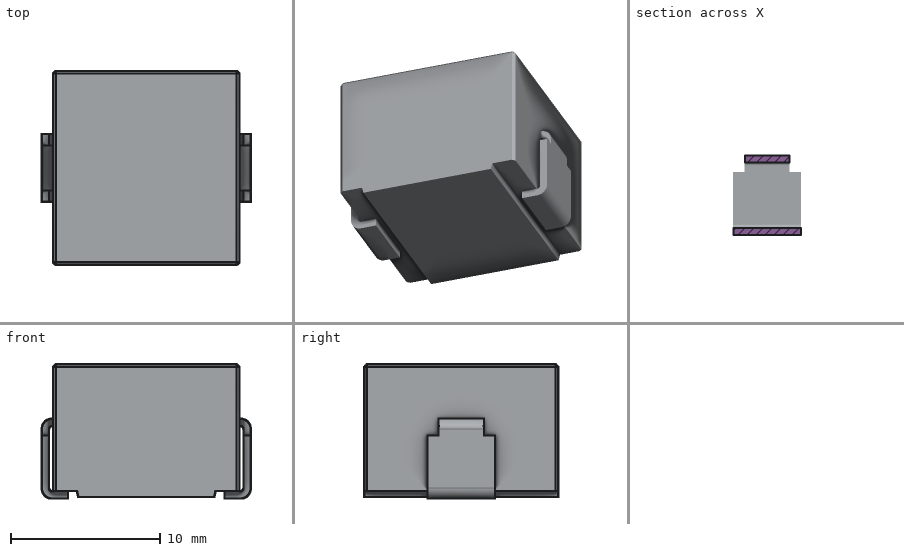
import cadquery as cq

overall_length = 14
overall_height = 9.0

body_length = 12.5
body_width = 13.0
edge_chamfer = 0.2

pad_ground_clearance = 0.1
pad_root_length = 9.3
pad_tip_length = 9.1

strip_thickness = 0.5
outer_bend_radius = 0.7
inner_bend_radius = outer_bend_radius - strip_thickness
lead_top_z = 5.36
lead_width = 4.55
neck_width = 3.02
shoulder_z = 4.23
foot_length = 1.78

lead_outer_x = overall_length / 2
lead_inner_x = lead_outer_x - strip_thickness
foot_end_x = lead_outer_x - foot_length
neck_end_x = body_length / 2 - edge_chamfer
body_bottom_z = strip_thickness


def make_body():
    """Rectangular block with chamfered vertical and top edges."""
    block_height = overall_height - body_bottom_z
    block = cq.Workplane("XY").workplane(offset=body_bottom_z)
    block = block.rect(body_length, body_width).extrude(block_height)
    return block.edges("|Z or >Z").chamfer(edge_chamfer)


def make_pad():
    """Pad with sloping ends that fills the space between the feet."""
    outline = [
        (-pad_root_length / 2, body_bottom_z),
        (-pad_tip_length / 2, pad_ground_clearance),
        (pad_tip_length / 2, pad_ground_clearance),
        (pad_root_length / 2, body_bottom_z),
    ]
    return cq.Workplane("XZ").polyline(outline).close().extrude(body_width / 2, both=True)


def make_lead():
    """C-shaped lead on the +X side, narrowed to a neck above its shoulders."""
    profile = (
        cq.Workplane("XZ")
        .moveTo(foot_end_x, 0)
        .lineTo(lead_outer_x - outer_bend_radius, 0)
        .radiusArc((lead_outer_x, outer_bend_radius), -outer_bend_radius)
        .lineTo(lead_outer_x, lead_top_z - outer_bend_radius)
        .radiusArc((lead_outer_x - outer_bend_radius, lead_top_z), -outer_bend_radius)
        .lineTo(neck_end_x, lead_top_z)
        .lineTo(neck_end_x, lead_top_z - strip_thickness)
        .lineTo(lead_inner_x - inner_bend_radius, lead_top_z - strip_thickness)
        .radiusArc((lead_inner_x, lead_top_z - outer_bend_radius), inner_bend_radius)
        .lineTo(lead_inner_x, outer_bend_radius)
        .radiusArc((lead_inner_x - inner_bend_radius, strip_thickness), inner_bend_radius)
        .lineTo(foot_end_x, strip_thickness)
        .close()
    )
    strip = profile.extrude(lead_width / 2, both=True)

    notch_width = (lead_width - neck_width) / 2
    notch_center_y = (lead_width + neck_width) / 4
    notches = (
        cq.Workplane("XY")
        .workplane(offset=shoulder_z)
        .pushPoints([(lead_outer_x, -notch_center_y), (lead_outer_x, notch_center_y)])
        .rect(overall_length, notch_width)
        .extrude(lead_top_z - shoulder_z)
    )
    return strip.cut(notches)


right_lead = make_lead()
left_lead = right_lead.mirror("YZ")
result = make_body().union(make_pad()).union(right_lead).union(left_lead)